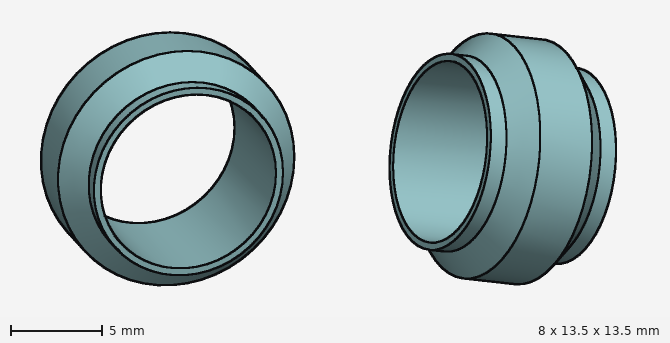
import cadquery as cq

length = 8.0
rim_diameter = 13.5
collar_diameter = 10.8
bore_diameter = 10.0
collar_length = 1.0

rim_radius = rim_diameter / 2
collar_radius = collar_diameter / 2
bore_radius = bore_diameter / 2

end_x = length / 2
shoulder_x = end_x - collar_length
rim_edge_x = shoulder_x - (rim_radius - collar_radius)


def make_ring():
    """Ring with a raised rim, two sloped flanks, two end collars and a plain through bore."""
    half_section = (
        cq.Workplane("XY")
        .moveTo(-end_x, bore_radius)
        .lineTo(-end_x, collar_radius)
        .lineTo(-shoulder_x, collar_radius)
        .lineTo(-rim_edge_x, rim_radius)
        .lineTo(rim_edge_x, rim_radius)
        .lineTo(shoulder_x, collar_radius)
        .lineTo(end_x, collar_radius)
        .lineTo(end_x, bore_radius)
        .close()
    )
    return half_section.revolve(360, (0, 0, 0), (1, 0, 0))


result = make_ring()